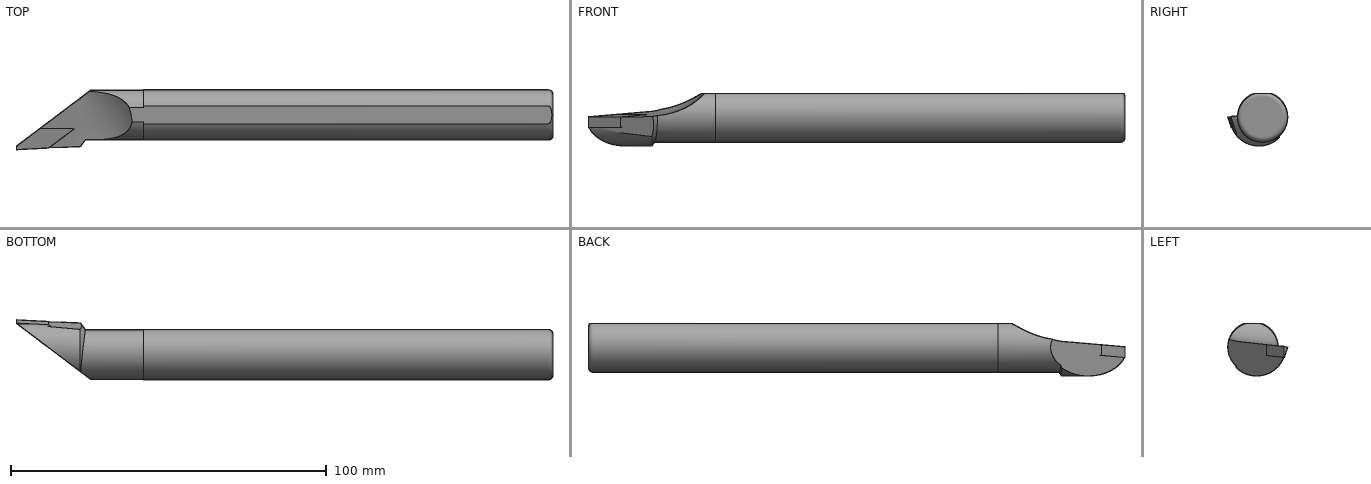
import cadquery as cq
import math

length = 170.0
shank_radius = 8.0
neck_step = 0.08
neck_drop = 0.08
head_radius = 9.2
head_axis_y = shank_radius - head_radius
neck_end_x = 40.3
head_end_x = 22.0
head_chamfer_length = 1.9
head_chamfer_depth = 2.5
rear_round = 1.5
flat_height = 7.5

tip_y = -11.0
tip_flat = 1.2
side_angle = 3.0
front_angle = 37.0
side_clearance = 18.0
rake_angle = 6.5
insert_thickness = 3.4
back_clearance = 14.5
insert_front_length = 9.4
insert_back_length = 10.2
insert_side_length = 10.2

pocket_x = 11.0
pocket_y = -1.0
pocket_floor_radius = 10.7
pocket_rim_radius = 20.4

reach = 51.0

side_start = (0, tip_y)
front_start = (0, tip_y + tip_flat)


def along(start, angle, distance):
    """Point at a distance from start, in a direction within the XY plane."""
    turn = math.radians(angle)
    return (start[0] + distance * math.cos(turn), start[1] + distance * math.sin(turn))


def rod(radius, start, end, axis_y=0.0, axis_z=0.0):
    return cq.Workplane("YZ", origin=(start, axis_y, axis_z)).circle(radius).extrude(end - start)


def on_rake(tool):
    """Tilt a tool so that its XY plane becomes the rake face."""
    return tool.rotate((0, 0, 0), (1, 0, 0), rake_angle).translate((0, tip_y, 0))


def leaning_relief(start, angle, clearance):
    """Material removed to the right of a line, beyond a face leaning inward below it."""
    block = cq.Workplane("XY").box(2 * reach, reach, reach).translate((0, -reach / 2, 0))
    block = block.rotate((0, 0, 0), (1, 0, 0), clearance)
    block = block.rotate((0, 0, 0), (0, 0, 1), angle)
    return block.translate((*start, 0))


def side_relief():
    return leaning_relief(side_start, side_angle, side_clearance)


def front_relief():
    """Material removed ahead of the oblique front face."""
    start = along(front_start, front_angle, -reach)
    end = along(front_start, front_angle, reach)
    outline = [start, end, along(end, front_angle + 90, reach), along(start, front_angle + 90, reach)]
    return cq.Workplane("XY").polyline(outline).close().extrude(reach, both=True)


def chip_pocket():
    """Turned pocket, its axis square to the rake face, with the floor run out past the tip."""
    profile = (
        cq.Workplane("XZ")
        .lineTo(pocket_floor_radius, 0)
        .radiusArc((pocket_floor_radius + pocket_rim_radius, pocket_rim_radius), -pocket_rim_radius)
        .lineTo(0, pocket_rim_radius)
        .close()
    )
    pocket = profile.revolve(360, (0, 0, 0), (0, 1, 0))
    run_out = cq.Workplane("XY").box(reach, reach, reach).translate((-reach / 2, 0, reach / 2))
    pocket = pocket.union(run_out)
    return on_rake(pocket.translate((pocket_x, pocket_y - tip_y, 0)))


def make_insert():
    """Parallelogram insert with a blunt tip, its back edge parallel to the front edge."""
    side_end = along(side_start, side_angle, insert_side_length)
    back_end = along(side_end, front_angle, insert_back_length)
    front_end = along(front_start, front_angle, insert_front_length)
    outline = [side_start, side_end, back_end, front_end, front_start]
    prism = cq.Workplane("XY").polyline(outline).close().extrude(reach, both=True)
    slab = cq.Workplane("XY").box(2 * reach, 2 * reach, insert_thickness)
    slab = on_rake(slab.translate((0, 0, -insert_thickness / 2)))
    back_relief = leaning_relief(side_end, front_angle, back_clearance)
    return prism.intersect(slab).cut(side_relief()).cut(back_relief)


def make_head():
    head = rod(head_radius, 0, head_end_x, head_axis_y)
    head = head.faces(">X").chamfer(head_chamfer_length, head_chamfer_depth)
    return head.cut(side_relief())


def make_bar(insert):
    shank = rod(shank_radius, neck_end_x, length).faces(">X").edges().fillet(rear_round)
    neck = rod(shank_radius - neck_step, 0, neck_end_x, axis_z=-neck_drop)
    bar = shank.union(neck.cut(side_relief())).union(make_head())
    above_flat = cq.Workplane("XY", origin=(0, 0, flat_height)).rect(3 * length, reach).extrude(reach)
    bar = bar.cut(above_flat).cut(front_relief())
    return bar.cut(chip_pocket()).cut(insert)


insert = make_insert()
bar = make_bar(insert)
result = cq.Compound.makeCompound([bar.val(), insert.val()])